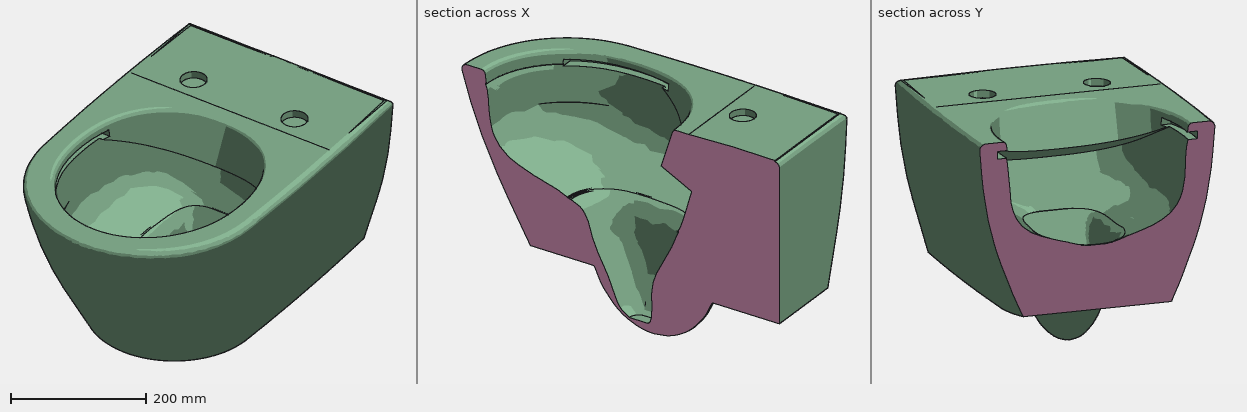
import cadquery as cq
import math


RIM_Z = 272.2
REAR_WIDTH_RATIO = 0.968
WIDEST_RATIO = 0.415
RIM_ROUND = 10.0
BASE_ROUND = 2.0
BODY_SECTIONS = [
    (0.0, 134.0, 440.0),
    (69.0, 154.6, 479.6),
    (137.0, 172.5, 515.0),
    (206.0, 183.0, 543.5),
    (RIM_Z, 188.6, 564.0),
]

CROWN_HEIGHT = 2.7
CROWN_HALF_WIDTH = 176.0
CROWN_SECTIONS = [(-8.0, 1.8), (-55.0, CROWN_HEIGHT), (-160.0, 0.05)]

HINGE_HOLE_DIAMETER = 40.0
HINGE_HOLE_SPACING = 180.0
HINGE_HOLE_Y = -124.0
HINGE_HOLE_DEPTH = 10.0

TRAP_DEPTH = 83.0
TRAP_CENTER = (0.0, -223.5, 60.0)
TRAP_HALF_WIDTH = 61.0
TRAP_HALF_LENGTH = 115.0

OPENING_LIP_ROUND = 7.0
REAR_SQUARENESS = 2.35
EGG_POINTS = 20
OPENING_SECTIONS = [
    (RIM_Z, 144.0, -188.0, -355.0, -520.0, REAR_SQUARENESS),
    (190.0, 137.0, -214.0, -355.0, -508.0, REAR_SQUARENESS),
]
BOWL_SECTIONS = [
    (250.0, 145.0, -138.0, -350.0, -519.0, 2.4),
    (195.0, 140.0, -150.0, -340.0, -511.0, 2.6),
    (145.0, 129.0, -165.0, -315.0, -486.0, 3.2),
    (122.0, 102.0, -172.0, -305.0, -437.0, 3.6),
    (100.0, 63.0, -182.0, -297.0, -371.0, 4.0),
]

DEFLECTOR_LIP_Y = -208.0
DEFLECTOR_LIP_Z = 203.0
DEFLECTOR_RISE = 0.50

SLOT_BOTTOM_Z = 247.0
SLOT_HEIGHT = 11.0
SLOT_REACH = 14.0
SLOT_REAR_Y = -283.0
SLOT_FRONT_Y = -455.0

TROUGH_SECTIONS = [
    (101.5, 68.0, -179.0, -375.0),
    (90.0, 56.0, -184.0, -349.0),
    (75.0, 50.5, -190.0, -339.0),
    (20.0, 46.0, -218.0, -318.0),
    (-40.0, 34.0, -226.0, -290.0),
    (-68.0, 16.0, -232.0, -265.0),
]
TROUGH_CORNER_RATIO = 0.3


def body_wire(height, half_width, length):
    """D-shaped outline: straight back, slightly bowed sides and a round nose tangent to them."""
    rear = REAR_WIDTH_RATIO * half_width
    bow = half_width - rear
    widest = WIDEST_RATIO * length
    side_radius = (widest**2 + bow**2) / (2 * bow)
    side_center_x = half_width - side_radius
    clearance = side_radius - length
    nose_center = (side_center_x**2 + widest**2 - clearance**2) / (2 * (clearance + widest))
    nose_radius = length - nose_center
    tangent_angle = math.atan2(nose_center - widest, -side_center_x)
    tangent_x = nose_radius * math.cos(tangent_angle)
    tangent_y = -nose_center - nose_radius * math.sin(tangent_angle)
    middle_angle = (tangent_angle + math.pi / 2) / 2
    middle_x = nose_radius * math.cos(middle_angle)
    middle_y = -nose_center - nose_radius * math.sin(middle_angle)
    return (
        cq.Workplane("XY", origin=(0, 0, height))
        .moveTo(-rear, 0)
        .lineTo(rear, 0)
        .threePointArc((half_width, -widest), (tangent_x, tangent_y))
        .threePointArc((middle_x, middle_y), (0, -length))
        .threePointArc((-middle_x, middle_y), (-tangent_x, tangent_y))
        .threePointArc((-half_width, -widest), (-rear, 0))
        .close()
        .val()
    )


def egg_wire(height, half_width, rear_y, widest_y, front_y, rear_exponent):
    """Egg outline: half an ellipse in front, half a superellipse behind."""
    points = []
    for i in range(EGG_POINTS):
        angle = 2 * math.pi * i / EGG_POINTS
        c = math.cos(angle)
        s = math.sin(angle)
        exponent = rear_exponent if s > 0 else 2.0
        reach = rear_y - widest_y if s > 0 else widest_y - front_y
        x = half_width * math.copysign(abs(c) ** (2 / exponent), c)
        y = widest_y + reach * math.copysign(abs(s) ** (2 / exponent), s)
        points.append((x, y))
    return cq.Workplane("XY", origin=(0, 0, height)).spline(points, periodic=True).close().val()


def trough_wire(height, half_width, rear_y, nose_y):
    """Straight-sided outline with a half-round nose and rounded rear corners."""
    nose_center_y = nose_y + half_width
    corner = TROUGH_CORNER_RATIO * half_width
    diagonal = corner * (1 - math.sqrt(0.5))
    return (
        cq.Workplane("XY", origin=(0, 0, height))
        .moveTo(-half_width + corner, rear_y)
        .lineTo(half_width - corner, rear_y)
        .threePointArc((half_width - diagonal, rear_y - diagonal), (half_width, rear_y - corner))
        .lineTo(half_width, nose_center_y)
        .threePointArc((0, nose_y), (-half_width, nose_center_y))
        .lineTo(-half_width, rear_y - corner)
        .threePointArc((diagonal - half_width, rear_y - diagonal), (corner - half_width, rear_y))
        .close()
        .val()
    )


def loft(wire, sections):
    """Smooth solid through the outlines that wire() draws for each section."""
    return cq.Workplane(cq.Solid.makeLoft([wire(*section) for section in sections]))


def body():
    shell = loft(body_wire, BODY_SECTIONS)
    shell = shell.faces(">Z").edges().fillet(RIM_ROUND)
    return shell.faces("<Z").edges().fillet(BASE_ROUND)


def crown_wire(y, height):
    return (
        cq.Workplane("XZ", origin=(0, y, RIM_Z))
        .moveTo(-CROWN_HALF_WIDTH, 0)
        .threePointArc((0, height), (CROWN_HALF_WIDTH, 0))
        .close()
        .val()
    )


def crown():
    return loft(crown_wire, CROWN_SECTIONS)


def trap_bulge():
    """Lower half of the trap ellipsoid, cut off inside the body and clear of the bowl."""
    x, y, z = TRAP_CENTER
    stretch = cq.Matrix([
        [TRAP_HALF_WIDTH, 0, 0, x],
        [0, TRAP_HALF_LENGTH, 0, y],
        [0, 0, z + TRAP_DEPTH, z],
    ])
    lower_half_ball = cq.Workplane("XY").sphere(1.0, angle1=-90, angle2=0).val()
    return cq.Workplane(lower_half_ball.transformGeometry(stretch))


def bowl_cavity():
    """Bowl below the rim, leaving the deflector wall standing at the rear."""
    top_z = RIM_Z + CROWN_HEIGHT
    front_y = DEFLECTOR_LIP_Y - (top_z - DEFLECTOR_LIP_Z) / DEFLECTOR_RISE
    rear_z = DEFLECTOR_LIP_Z + DEFLECTOR_LIP_Y * DEFLECTOR_RISE
    deflector = (
        cq.Workplane("YZ")
        .polyline([(front_y, top_z), (0, rear_z), (0, top_z)])
        .close()
        .extrude(BODY_SECTIONS[-1][1], both=True)
    )
    return loft(egg_wire, BOWL_SECTIONS).cut(deflector)


def flush_slots():
    _, half_width, rear_y, widest_y, front_y, squareness = OPENING_SECTIONS[0]
    outline = egg_wire(
        SLOT_BOTTOM_Z, half_width + SLOT_REACH, rear_y, widest_y, front_y - SLOT_REACH, squareness
    )
    ring = cq.Workplane(cq.Solid.extrudeLinear(outline, [], cq.Vector(0, 0, SLOT_HEIGHT)))
    band = cq.Workplane("XY", origin=(0, (SLOT_REAR_Y + SLOT_FRONT_Y) / 2, SLOT_BOTTOM_Z)).box(
        4 * half_width, SLOT_REAR_Y - SLOT_FRONT_Y, 2 * SLOT_HEIGHT
    )
    return ring.intersect(band)


def drain_trough():
    return loft(trough_wire, TROUGH_SECTIONS)


def hinge_holes():
    half = HINGE_HOLE_SPACING / 2
    return (
        cq.Workplane("XY", origin=(0, HINGE_HOLE_Y, RIM_Z - HINGE_HOLE_DEPTH))
        .pushPoints([(-half, 0), (half, 0)])
        .circle(HINGE_HOLE_DIAMETER / 2)
        .extrude(HINGE_HOLE_DEPTH + 2 * CROWN_HEIGHT)
    )


def shell_with_opening():
    """Body with the bowl opening cut in and its upper edge rounded."""
    opening = loft(egg_wire, OPENING_SECTIONS)
    _, half_width, rear_y, _, front_y, _ = OPENING_SECTIONS[0]
    margin = 1.0
    around_opening_edge = cq.selectors.BoxSelector(
        (-half_width - margin, front_y - margin, RIM_Z - margin),
        (half_width + margin, rear_y + margin, RIM_Z + margin),
    )
    return body().cut(opening).edges(around_opening_edge).fillet(OPENING_LIP_ROUND)


result = (
    shell_with_opening()
    .union(trap_bulge())
    .union(crown())
    .cut(bowl_cavity())
    .cut(flush_slots())
    .cut(drain_trough())
    .cut(hinge_holes())
    .solids()
)